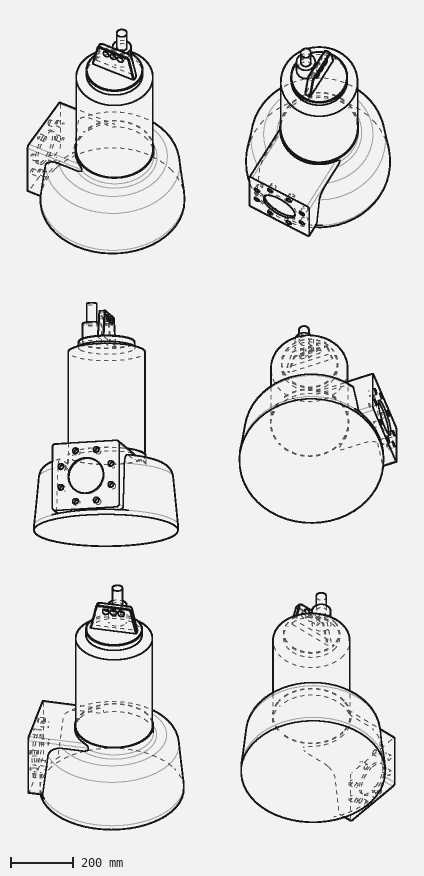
import cadquery as cq
import math


base_radius = 229.8
base_height = 16.5
volute_offset = -7.5
volute_top = 210.0
volute_top_radius = 211.0
shoulder_fillet = 40.0
collar_radius = 125.0
collar_top = 246.0
collar_fillet = 10.0

overall_length = 478.0
block_width = 220.5
block_height = 217.5
block_edge_fillet = 10.0
block_face_x = volute_offset + base_radius - overall_length
block_center_z = base_height + block_height / 2
port_diameter = 115.5
port_depth = 7.5
bolt_count = 8
bolt_circle_radius = 89.5
bolt_hole_diameter = 18.0
bolt_hole_depth = 22.0

motor_radius = 122.55
motor_shoulder_z = 585.0
cap_radius = 90.0
cap_bottom_z = 599.0
cap_top_z = 619.0
cap_chamfer = 2.0

plate_top_z = 709.0
plate_bottom_width = 150.5
plate_top_width = 112.0
plate_thickness = 20.0
plate_corner_fillet = 10.5
plate_edge_chamfer = 2.0
lift_hole_diameter = 20.0
lift_hole_pitch = 25.0
lift_hole_z = 689.0

cable_y = 49.0
gland_radius = 30.0
gland_top_z = 679.5
cable_radius = 16.5
cable_top_z = 745.0


def cylinder(radius, bottom, top, y=0):
    """Upright cylinder between two heights."""
    return cq.Workplane("XY", origin=(0, y, bottom)).circle(radius).extrude(top - bottom)


def make_volute():
    """Tapered casing with a rounded shoulder on a straight base rim."""
    profile = [
        (0, 0),
        (base_radius, 0),
        (base_radius, base_height),
        (volute_top_radius, volute_top),
        (0, volute_top),
    ]
    volute = cq.Workplane("XZ").polyline(profile).close().revolve(360, (0, 0), (0, 1))
    return volute.faces(">Z").edges().fillet(shoulder_fillet).translate((volute_offset, 0, 0))


def make_collar():
    """Seat for the motor, flaring out onto the top of the volute."""
    diagonal = collar_fillet * (1 - math.sqrt(0.5))
    return (
        cq.Workplane("XZ")
        .moveTo(0, base_height)
        .lineTo(collar_radius + collar_fillet, base_height)
        .lineTo(collar_radius + collar_fillet, volute_top)
        .threePointArc(
            (collar_radius + diagonal, volute_top + diagonal),
            (collar_radius, volute_top + collar_fillet),
        )
        .lineTo(collar_radius, collar_top)
        .lineTo(0, collar_top)
        .close()
        .revolve(360, (0, 0), (0, 1))
    )


def make_discharge_block():
    """Square block with rounded long edges, running from the flange face to the motor axis."""
    length = -block_face_x
    return (
        cq.Workplane("XY")
        .box(length, block_width, block_height)
        .edges("|X")
        .fillet(block_edge_fillet)
        .translate((-length / 2, 0, block_center_z))
    )


def make_flange_cuts():
    """Discharge port and the ring of bolt holes around it."""
    face = cq.Workplane("YZ", origin=(block_face_x, 0, block_center_z))
    port = face.circle(port_diameter / 2).extrude(port_depth)
    half_step = 180 / bolt_count
    bolts = (
        face.polarArray(bolt_circle_radius, half_step, 360, bolt_count)
        .circle(bolt_hole_diameter / 2)
        .extrude(bolt_hole_depth)
    )
    return port.union(bolts)


def make_casing():
    body = make_volute().union(make_collar()).union(make_discharge_block())
    return body.cut(make_flange_cuts())


def make_motor_shell():
    """Motor cylinder, conical shoulder and flat cap."""
    profile = [
        (0, collar_top),
        (motor_radius, collar_top),
        (motor_radius, motor_shoulder_z),
        (cap_radius, cap_bottom_z),
        (cap_radius, cap_top_z),
        (0, cap_top_z),
    ]
    shell = cq.Workplane("XZ").polyline(profile).close().revolve(360, (0, 0), (0, 1))
    return shell.faces(">Z").edges().chamfer(cap_chamfer)


def make_lifting_plate():
    """Tapered upright plate with rounded top corners and a row of three holes."""
    outline = [
        (-plate_bottom_width / 2, cap_top_z),
        (plate_bottom_width / 2, cap_top_z),
        (plate_top_width / 2, plate_top_z),
        (-plate_top_width / 2, plate_top_z),
    ]
    plate = (
        cq.Workplane("XZ", origin=(0, plate_thickness / 2, 0))
        .polyline(outline)
        .close()
        .extrude(plate_thickness)
    )
    plate = plate.faces(">Z").edges("|Y").fillet(plate_corner_fillet)
    plate = plate.faces("<Y or >Y").edges("not <Z").chamfer(plate_edge_chamfer)
    holes = (
        cq.Workplane("XZ", origin=(0, plate_thickness / 2, lift_hole_z))
        .pushPoints([(i * lift_hole_pitch, 0) for i in (-1, 0, 1)])
        .circle(lift_hole_diameter / 2)
        .extrude(plate_thickness)
    )
    return plate.cut(holes)


def make_motor():
    gland = cylinder(gland_radius, cap_top_z, gland_top_z, y=cable_y)
    cable = cylinder(cable_radius, gland_top_z, cable_top_z, y=cable_y)
    return make_motor_shell().union(make_lifting_plate()).union(gland).union(cable)


casing = make_casing()
motor = make_motor()

result = cq.Compound.makeCompound([casing.val(), motor.val()])